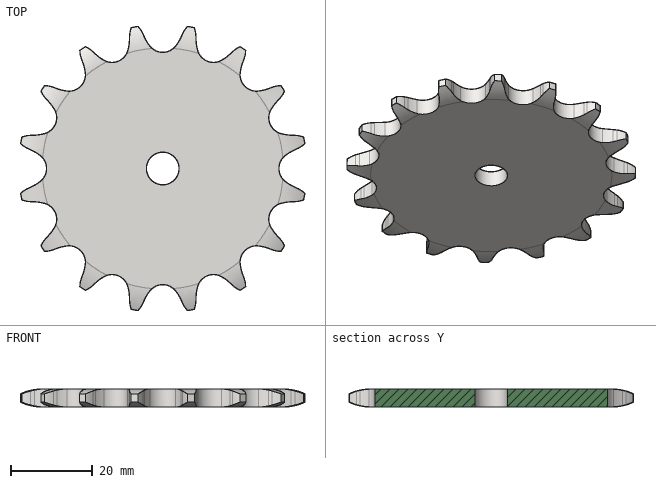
import cadquery as cq
import math


teeth = 16
span = 69.9
thickness = 4.5
bore_diameter = 8.0
pitch_radius = 32.55
roller_diameter = 7.9
seat_clearance = 0.0385
face_radius = 29.6
tip_thickness = 2.0

seat_angle = math.radians(35 + 60 / teeth)
working_sweep = math.radians(18 - 56 / teeth)
topping_angle = math.radians(17 - 64 / teeth)
flank_angle = seat_angle - working_sweep
half_pitch_angle = math.pi / teeth

working_offset = 0.8 * roller_diameter
topping_offset = 1.4 * roller_diameter
seat_radius = 0.5025 * roller_diameter + seat_clearance
working_radius = seat_radius + working_offset
topping_radius = (
    working_offset * math.cos(working_sweep)
    + topping_offset * math.cos(topping_angle)
    - working_radius
)

seat_center = (0, pitch_radius)
working_center = (
    -working_offset * math.cos(seat_angle),
    pitch_radius + working_offset * math.sin(seat_angle),
)
topping_center = (
    topping_offset * math.cos(half_pitch_angle),
    pitch_radius - topping_offset * math.sin(half_pitch_angle),
)

tip_y = span / 2
tip_rise = tip_y - topping_center[1]
tip_x = topping_center[0] - math.sqrt(topping_radius**2 - tip_rise**2)
outer_radius = math.hypot(tip_x, tip_y)


def on_circle(center, radius, angle):
    """Point at an angle, counterclockwise from +X, on a circle."""
    return (center[0] + radius * math.cos(angle), center[1] + radius * math.sin(angle))


def mirrored(point):
    """The same point on the left flank of the gap."""
    return (-point[0], point[1])


def relieved_disc():
    """Disc whose rim thins towards the tooth tips along arcs tangent to its faces."""
    half_thickness = thickness / 2
    half_tip = tip_thickness / 2
    relief_width = outer_radius - face_radius
    relief_depth = half_thickness - half_tip
    relief_radius = (relief_width**2 + relief_depth**2) / (2 * relief_depth)
    mid_angle = math.asin(relief_width / relief_radius) / 2
    mid_radius = face_radius + relief_radius * math.sin(mid_angle)
    mid_height = half_thickness - relief_radius * (1 - math.cos(mid_angle))
    return (
        cq.Workplane("XZ")
        .moveTo(0, -half_thickness)
        .lineTo(face_radius, -half_thickness)
        .threePointArc((mid_radius, -mid_height), (outer_radius, -half_tip))
        .lineTo(outer_radius, half_tip)
        .threePointArc((mid_radius, mid_height), (face_radius, half_thickness))
        .lineTo(0, half_thickness)
        .close()
        .revolve(360, (0, 0, 0), (0, 1, 0))
    )


def tooth_gap():
    """Cutter for the gap on +Y, closed beyond the outer circle."""
    bottom = on_circle(seat_center, seat_radius, -math.pi / 2)
    seat_end = on_circle(seat_center, seat_radius, -seat_angle)
    working_mid = on_circle(working_center, working_radius, -(seat_angle + flank_angle) / 2)
    working_end = on_circle(working_center, working_radius, -flank_angle)

    topping_start_angle = math.pi - flank_angle
    tip_angle = math.atan2(tip_rise, tip_x - topping_center[0])
    topping_mid_angle = (topping_start_angle + tip_angle) / 2
    topping_start = on_circle(topping_center, topping_radius, topping_start_angle)
    topping_mid = on_circle(topping_center, topping_radius, topping_mid_angle)
    tip = (tip_x, tip_y)
    closing_y = outer_radius + thickness

    return (
        cq.Workplane("XY")
        .moveTo(*mirrored(seat_end))
        .threePointArc(bottom, seat_end)
        .threePointArc(working_mid, working_end)
        .lineTo(*topping_start)
        .threePointArc(topping_mid, tip)
        .lineTo(tip_x, closing_y)
        .lineTo(-tip_x, closing_y)
        .lineTo(*mirrored(tip))
        .threePointArc(mirrored(topping_mid), mirrored(topping_start))
        .lineTo(*mirrored(working_end))
        .threePointArc(mirrored(working_mid), mirrored(seat_end))
        .close()
        .extrude(thickness, both=True)
    )


sprocket = relieved_disc()
gap = tooth_gap()
for index in range(teeth):
    sprocket = sprocket.cut(gap.rotate((0, 0, 0), (0, 0, 1), index * 360 / teeth))

result = sprocket.faces(">Z").workplane(origin=(0, 0, 0)).hole(bore_diameter)